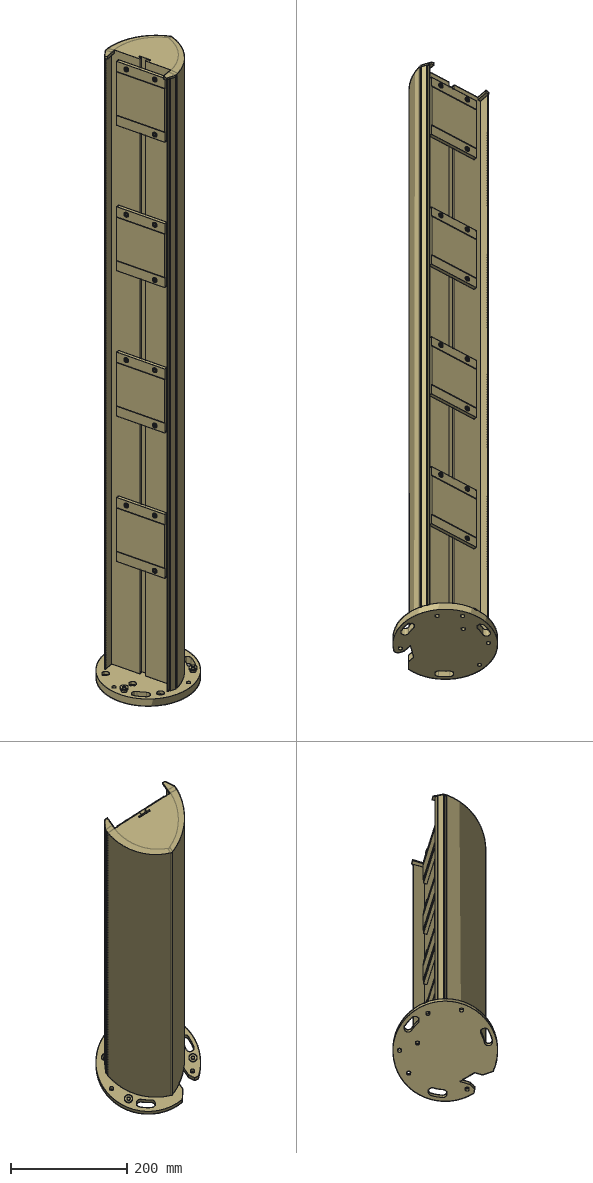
import cadquery as cq
import math

TOTAL_HEIGHT = 1284.0
BASE_RADIUS = 90.0
BASE_THICKNESS = 15.0
CAP_RIM_HEIGHT = 4.0
CAP_SLOPE_HEIGHT = 2.0
CAP_BOTTOM = TOTAL_HEIGHT - CAP_RIM_HEIGHT - CAP_SLOPE_HEIGHT

PANEL_Y = -18.0
LIP_INNER_X = 63.0
LIP_END_Y = -38.0
CAP_LIP_END_Y = -41.0
APEX_Y = 73.0
APEX_HALF_WIDTH = 2.0
APEX_RISE = 0.8
SIDE_MID = (45.0, 43.2)
SHOULDER_X = 71.5
SHOULDER_END_Y = -25.0
LIP_END_X = 65.0
LIP_STEP_X = 67.0
LIP_STEP_Y = -33.5
CAP_LIP_END_X = 63.0
CAP_OPENING_X = 57.0
CAP_FLAT_FLARE = 1.0
CAP_APEX_Y = 64.0
CAP_SIDE_MID = (37.0, 37.0)
LIP_GROOVE_Y = -21.5
LIP_GROOVE_WIDTH = 3.0
LIP_GROOVE_DEPTH = 1.5

SLOT_NECK_WIDTH = 11.0
SLOT_NECK_DEPTH = 5.0
SLOT_HEAD_WIDTH = 22.0
SLOT_HEAD_DEPTH = 2.5

PLATE_COUNT = 4
PLATE_PITCH = 300.0
PLATE_WIDTH = 98.0
PLATE_HEIGHT = 132.0
TOP_PLATE_UPPER_EDGE = 1267.0
STRIP_HEIGHT = 21.0
STRIP_THICKNESS = 6.0
MIDDLE_THICKNESS = 7.0
PLATE_SCREW_X = 29.0
PLATE_SCREW_INSET = 9.0
PLATE_SCREW_DIAMETER = 9.0
PLATE_SCREW_HEAD = 1.5
PLATE_SOCKET_DIAMETER = 5.0

ARC_SLOT_ANGLES = (53.0, 173.0, 293.0)
ARC_SLOT_RADIUS = 76.0
ARC_SLOT_WIDTH = 14.0
ARC_SLOT_SPAN = 14.0
SMALL_HOLE_DIAMETER = 7.0
SMALL_HOLES = ((-54.0, 56.0), (79.0, 5.0), (-21.5, -75.5))
BOLT_HOLES = ((-56.0, -48.5), (0.0, -50.0), (56.0, -48.5))
BOLT_HOLE_DIAMETER = 7.0
BOLT_BORE_DIAMETER = 13.0
BOLT_BORE_DEPTH = 6.0
NOTCH_OUTLINE = ((-44.5, 40.0), (-44.5, 58.0), (-50.0, 68.5), (-59.0, 69.5), (-70.0, 95.0),
                 (-6.0, 95.0), (-22.0, 74.0), (-22.0, 60.0))
LEVEL_SCREW_RADIUS = 77.0
LEVEL_SCREW_ANGLES = (30.0, 150.0, 270.0)
LEVEL_SCREW_HEAD_DIAMETER = 14.0
LEVEL_SCREW_SHANK_DIAMETER = 10.0
LEVEL_SCREW_STANDOFF = 5.0
LEVEL_SCREW_HEAD_HEIGHT = 3.0
LEVEL_SCREW_SOCKET_DIAMETER = 6.0


def box_between(x_min, x_max, y_min, y_max, z_min, z_max):
    size = (x_max - x_min, y_max - y_min, z_max - z_min)
    return cq.Workplane("XY").box(*size, centered=False).translate((x_min, y_min, z_min))


def upright_cylinder(x, y, diameter, z_min, z_max):
    return cq.Workplane("XY", origin=(x, y, z_min)).circle(diameter / 2).extrude(z_max - z_min)


def polar(radius, degrees):
    angle = math.radians(degrees)
    return radius * math.cos(angle), radius * math.sin(angle)


def arch_outline(z, apex_y, side_mid, shoulder_x):
    """Open outline of the pointed arch, from its left shoulder over the apex to the right one."""
    mid_x, mid_y = side_mid
    apex_side_y = apex_y - APEX_RISE
    return (
        cq.Workplane("XY", origin=(0, 0, z))
        .moveTo(-shoulder_x, PANEL_Y)
        .threePointArc((-mid_x, mid_y), (-APEX_HALF_WIDTH, apex_side_y))
        .threePointArc((0, apex_y), (APEX_HALF_WIDTH, apex_side_y))
        .threePointArc((mid_x, mid_y), (shoulder_x, PANEL_Y))
    )


def column_section(z):
    """Column section with both lips; each lip has a stepped outer flank."""
    return (
        arch_outline(z, APEX_Y, SIDE_MID, SHOULDER_X)
        .lineTo(SHOULDER_X, SHOULDER_END_Y)
        .lineTo(LIP_STEP_X, LIP_STEP_Y)
        .lineTo(LIP_END_X, LIP_STEP_Y)
        .lineTo(LIP_END_X, LIP_END_Y)
        .lineTo(LIP_INNER_X, LIP_END_Y)
        .lineTo(LIP_INNER_X, PANEL_Y)
        .lineTo(-LIP_INNER_X, PANEL_Y)
        .lineTo(-LIP_INNER_X, LIP_END_Y)
        .lineTo(-LIP_END_X, LIP_END_Y)
        .lineTo(-LIP_END_X, LIP_STEP_Y)
        .lineTo(-LIP_STEP_X, LIP_STEP_Y)
        .lineTo(-SHOULDER_X, SHOULDER_END_Y)
        .close()
    )


def cap_outline(z, apex_y, side_mid, shoulder_x, front_x):
    """Full cap outline, spanning the recess between the lips."""
    return (
        arch_outline(z, apex_y, side_mid, shoulder_x)
        .lineTo(shoulder_x, SHOULDER_END_Y)
        .lineTo(front_x, CAP_LIP_END_Y)
        .lineTo(-front_x, CAP_LIP_END_Y)
        .lineTo(-shoulder_x, SHOULDER_END_Y)
        .close()
    )


def make_column():
    column = column_section(BASE_THICKNESS).extrude(CAP_BOTTOM - BASE_THICKNESS)
    right_groove = box_between(
        SHOULDER_X - LIP_GROOVE_DEPTH, BASE_RADIUS,
        LIP_GROOVE_Y - LIP_GROOVE_WIDTH / 2, LIP_GROOVE_Y + LIP_GROOVE_WIDTH / 2,
        BASE_THICKNESS, CAP_BOTTOM,
    )
    return column.cut(right_groove).cut(right_groove.mirror("YZ"))


def cap_opening():
    """Opening at the front of the cap, in line with the front panel."""
    return box_between(
        -CAP_OPENING_X, CAP_OPENING_X, -BASE_RADIUS, PANEL_Y, CAP_BOTTOM, TOTAL_HEIGHT
    )


def make_cap():
    """Cap with a low sloped border around its flat top."""
    rim_top = CAP_BOTTOM + CAP_RIM_HEIGHT
    rim_shape = (APEX_Y, SIDE_MID, SHOULDER_X, CAP_LIP_END_X)
    flat_shape = (CAP_APEX_Y, CAP_SIDE_MID, CAP_OPENING_X + CAP_FLAT_FLARE, CAP_OPENING_X)
    rim = cap_outline(CAP_BOTTOM, *rim_shape).extrude(CAP_RIM_HEIGHT)
    lower_wire = cap_outline(rim_top, *rim_shape).val()
    upper_wire = cap_outline(TOTAL_HEIGHT, *flat_shape).val()
    border = cq.Workplane(cq.Solid.makeLoft([lower_wire, upper_wire], True))
    return rim.union(border).cut(cap_opening())


def panel_slot():
    neck_back = PANEL_Y + SLOT_NECK_DEPTH
    neck_half = SLOT_NECK_WIDTH / 2
    head_half = SLOT_HEAD_WIDTH / 2
    neck = box_between(-neck_half, neck_half, PANEL_Y, neck_back, BASE_THICKNESS, TOTAL_HEIGHT)
    head = box_between(
        -head_half, head_half, neck_back, neck_back + SLOT_HEAD_DEPTH, BASE_THICKNESS, TOTAL_HEIGHT
    )
    return neck.union(head)


def make_mounting_plate(upper_z):
    lower_z = upper_z - PLATE_HEIGHT
    half = PLATE_WIDTH / 2
    strip_y = PANEL_Y - STRIP_THICKNESS
    plate = box_between(-half, half, strip_y, PANEL_Y, lower_z, upper_z)
    middle = box_between(
        -half, half, PANEL_Y - MIDDLE_THICKNESS, PANEL_Y, lower_z + STRIP_HEIGHT, upper_z - STRIP_HEIGHT
    )
    plate = plate.union(middle)
    screw_places = (
        (-PLATE_SCREW_X, upper_z - PLATE_SCREW_INSET),
        (PLATE_SCREW_X, upper_z - PLATE_SCREW_INSET),
        (PLATE_SCREW_X, lower_z + PLATE_SCREW_INSET),
    )
    heads = (
        cq.Workplane("XZ", origin=(0, strip_y, 0)).pushPoints(screw_places)
        .circle(PLATE_SCREW_DIAMETER / 2).circle(PLATE_SOCKET_DIAMETER / 2)
        .extrude(PLATE_SCREW_HEAD)
    )
    return plate.union(heads)


def arc_slot(angle):
    """Slot following a circle about the disc centre, with round ends."""
    inner = ARC_SLOT_RADIUS - ARC_SLOT_WIDTH / 2
    outer = ARC_SLOT_RADIUS + ARC_SLOT_WIDTH / 2
    start = angle - ARC_SLOT_SPAN / 2
    end = angle + ARC_SLOT_SPAN / 2
    cap_angle = math.degrees(ARC_SLOT_WIDTH / 2 / ARC_SLOT_RADIUS)
    return (
        cq.Workplane("XY").moveTo(*polar(outer, start))
        .threePointArc(polar(outer, angle), polar(outer, end))
        .threePointArc(polar(ARC_SLOT_RADIUS, end + cap_angle), polar(inner, end))
        .threePointArc(polar(inner, angle), polar(inner, start))
        .threePointArc(polar(ARC_SLOT_RADIUS, start - cap_angle), polar(outer, start))
        .close().extrude(BASE_THICKNESS)
    )


def make_base():
    base = cq.Workplane("XY").circle(BASE_RADIUS).extrude(BASE_THICKNESS)
    for angle in ARC_SLOT_ANGLES:
        base = base.cut(arc_slot(angle))
    base = base.cut(cq.Workplane("XY").polyline(NOTCH_OUTLINE).close().extrude(BASE_THICKNESS))
    top = base.faces(">Z").workplane(origin=(0, 0, BASE_THICKNESS))
    base = top.pushPoints(SMALL_HOLES).hole(SMALL_HOLE_DIAMETER)
    top = base.faces(">Z").workplane(origin=(0, 0, BASE_THICKNESS))
    return top.pushPoints(BOLT_HOLES).cboreHole(BOLT_HOLE_DIAMETER, BOLT_BORE_DIAMETER, BOLT_BORE_DEPTH)


def make_level_screw(angle):
    x, y = polar(LEVEL_SCREW_RADIUS, angle)
    head_bottom = BASE_THICKNESS + LEVEL_SCREW_STANDOFF
    head_top = head_bottom + LEVEL_SCREW_HEAD_HEIGHT
    shank = upright_cylinder(x, y, LEVEL_SCREW_SHANK_DIAMETER, BASE_THICKNESS, head_bottom)
    head = upright_cylinder(x, y, LEVEL_SCREW_HEAD_DIAMETER, head_bottom, head_top)
    socket = upright_cylinder(x, y, LEVEL_SCREW_SOCKET_DIAMETER, head_bottom, head_top)
    return shank.union(head).cut(socket)


result = make_column().union(make_cap()).cut(panel_slot())
for index in range(PLATE_COUNT):
    result = result.union(make_mounting_plate(TOP_PLATE_UPPER_EDGE - index * PLATE_PITCH))
result = result.union(make_base())
for screw_angle in LEVEL_SCREW_ANGLES:
    result = result.union(make_level_screw(screw_angle))